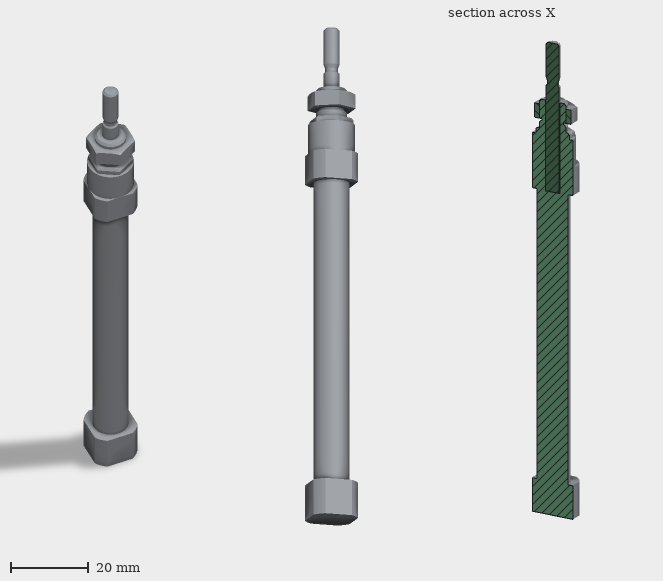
import cadquery as cq
import math

BASE_CAP_TOP = 9.3
HEAD_BOTTOM = 88.7
HEAD_SQUARE_TOP = 96.2
HEAD_TOP = 104.0
COLLAR_TOP = 105.7
THREAD_BOTTOM = 107.1
NUT_BOTTOM = 108.1
NECK_TOP = 113.6
ROD_SHOULDER = 117.6
ROD_RELIEF_TOP = 118.9
ROD_THREAD_BOTTOM = 119.9
ROD_TOP = 129.5

HEAD_DIAMETER = 12.0
CAP_CORNER_DIAMETER = 14.0
TUBE_DIAMETER = 9.3
COLLAR_FLATS = 10.0
COLLAR_CHAMFER = 0.5
NECK_THREAD_DIAMETER = 8.0
NECK_CHAMFER_DIAMETER = 6.9
NECK_RELIEF_DIAMETER = 6.5
ROD_BORE_DIAMETER = 4.1

NUT_FLATS = 11.0
NUT_HEIGHT = 4.0
NUT_CONE_ANGLE = 20.0

ROD_DIAMETER = 4.0
ROD_TIP_CHAMFER = 0.5
ROD_RELIEF_DIAMETER = 3.2


def plane_at(height):
    return cq.Workplane("XY").workplane(offset=height)


def cylinder(diameter, bottom, top):
    return plane_at(bottom).circle(diameter / 2).extrude(top - bottom)


def revolve_profile(stations):
    """Solid of revolution about Z through (diameter, height) stations, listed upward."""
    first_height = stations[0][1]
    last_height = stations[-1][1]
    outline = [(0, first_height)]
    outline += [(diameter / 2, height) for diameter, height in stations]
    outline += [(0, last_height)]
    return cq.Workplane("XZ").polyline(outline).close().revolve(360, (0, 0, 0), (0, 1, 0))


def square_cap(bottom, top):
    """Square block whose four corners are rounded by a larger coaxial cylinder."""
    block = plane_at(bottom).rect(HEAD_DIAMETER, HEAD_DIAMETER).extrude(top - bottom)
    return block.intersect(cylinder(CAP_CORNER_DIAMETER, bottom, top))


def hexagon_corners(flats):
    """Width across the corners of a hexagon with the given width across flats."""
    return flats / math.cos(math.radians(30))


def hexagon(flats, bottom, top):
    """Hexagonal prism with two corners on the X axis."""
    return plane_at(bottom).polygon(6, hexagon_corners(flats)).extrude(top - bottom)


def make_collar():
    return hexagon(COLLAR_FLATS, HEAD_TOP, COLLAR_TOP).faces(">Z").chamfer(COLLAR_CHAMFER)


def make_threaded_neck():
    """Threaded neck with a relief groove just below the nut."""
    chamfer = (NECK_THREAD_DIAMETER - NECK_CHAMFER_DIAMETER) / 2
    groove_bottom = THREAD_BOTTOM + chamfer
    return revolve_profile([
        (NECK_THREAD_DIAMETER, COLLAR_TOP),
        (NECK_THREAD_DIAMETER, THREAD_BOTTOM),
        (NECK_CHAMFER_DIAMETER, groove_bottom),
        (NECK_RELIEF_DIAMETER, groove_bottom),
        (NECK_RELIEF_DIAMETER, NUT_BOTTOM),
        (NECK_THREAD_DIAMETER, NUT_BOTTOM),
        (NECK_THREAD_DIAMETER, NECK_TOP - chamfer),
        (NECK_CHAMFER_DIAMETER, NECK_TOP),
    ])


def make_housing():
    housing = square_cap(0, BASE_CAP_TOP)
    housing = housing.union(cylinder(TUBE_DIAMETER, BASE_CAP_TOP, HEAD_BOTTOM))
    housing = housing.union(square_cap(HEAD_BOTTOM, HEAD_SQUARE_TOP))
    housing = housing.union(cylinder(HEAD_DIAMETER, HEAD_SQUARE_TOP, HEAD_TOP))
    housing = housing.union(make_collar())
    housing = housing.union(make_threaded_neck())
    return housing.cut(cylinder(ROD_BORE_DIAMETER, HEAD_BOTTOM, NECK_TOP))


def make_nut():
    """Hexagon nut whose upper corners are cut back by a cone whose top circle touches the flats."""
    nut_top = NUT_BOTTOM + NUT_HEIGHT
    corners = hexagon_corners(NUT_FLATS)
    cone_drop = (corners - NUT_FLATS) / 2 * math.tan(math.radians(NUT_CONE_ANGLE))
    cone_envelope = revolve_profile([
        (corners, NUT_BOTTOM),
        (corners, nut_top - cone_drop),
        (NUT_FLATS, nut_top),
    ])
    nut = hexagon(NUT_FLATS, NUT_BOTTOM, nut_top).intersect(cone_envelope)
    return nut.cut(cylinder(NECK_THREAD_DIAMETER, NUT_BOTTOM, nut_top))


def make_rod():
    """Rod standing on the floor of the head bore, with a threaded end above a relief groove."""
    shoulder_chamfer = (ROD_DIAMETER - ROD_RELIEF_DIAMETER) / 2
    tip_diameter = ROD_DIAMETER - 2 * ROD_TIP_CHAMFER
    return revolve_profile([
        (ROD_DIAMETER, HEAD_BOTTOM),
        (ROD_DIAMETER, ROD_SHOULDER),
        (ROD_RELIEF_DIAMETER, ROD_SHOULDER + shoulder_chamfer),
        (ROD_RELIEF_DIAMETER, ROD_RELIEF_TOP),
        (ROD_DIAMETER, ROD_THREAD_BOTTOM),
        (ROD_DIAMETER, ROD_TOP - ROD_TIP_CHAMFER),
        (tip_diameter, ROD_TOP),
    ])


housing = make_housing()
nut = make_nut()
rod = make_rod()

result = cq.Compound.makeCompound([housing.val(), nut.val(), rod.val()])